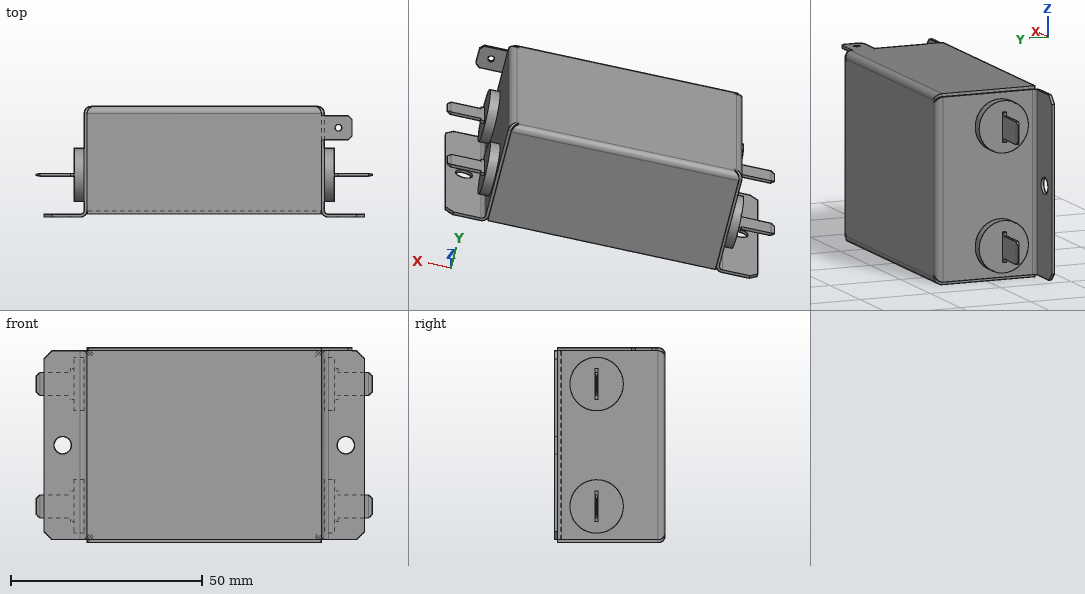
import cadquery as cq

overall_length = 88.0
overall_depth = 29.0
overall_height = 51.0

sheet = 0.8
bend_inside = 1.1
bend_outside = bend_inside + sheet

case_length = 62.8
back_y = overall_depth / 2
flange_face_y = -overall_depth / 2
case_front_y = flange_face_y + sheet
wall_x = case_length / 2
wall_inner_x = wall_x - sheet
plate_top_z = overall_height / 2
plate_inner_z = plate_top_z - sheet
filling_recess = sheet

flange_tip_x = 42.0
flange_corner = 2.1
flange_hole_x = 37.05
flange_hole_diameter = 4.5

terminal_y = -3.4
terminal_z = 16.0
insulator_diameter = 14.0
insulator_length = 2.6
insulator_face_x = wall_x + insulator_length
root_width = 8.0
root_length = 1.0
blade_width = 6.1
blade_thickness = 0.8
blade_bevel_length = 1.0
blade_tip_width = blade_width - 2 * blade_bevel_length
blade_tip_thickness = 0.3

tab_tip_x = 38.7
tab_y = 8.9
tab_width = 6.3
tab_corner = 1.1
tab_hole_x = 35.1
tab_hole_diameter = 1.7


def box_between(x_range, y_range, z_range):
    """Box given by its lower and upper bound along each axis."""
    sizes = [high - low for low, high in (x_range, y_range, z_range)]
    corner = (x_range[0], y_range[0], z_range[0])
    return cq.Workplane("XY").box(*sizes, centered=False).translate(corner)


def rounded_block(half_x, half_z, front_y):
    """Block whose four back edges are bent round, meeting in mitred corners."""
    block = box_between((-half_x, half_x), (front_y, back_y), (-half_z, half_z))
    return block.faces(">Y").edges().fillet(bend_outside)


def make_case():
    """Potted case: end walls and top and bottom plates, notched along the corners."""
    walls = rounded_block(wall_x, plate_inner_z, case_front_y + bend_inside)
    plates = rounded_block(wall_inner_x, plate_top_z, case_front_y)
    front_pocket = box_between(
        (-wall_inner_x, wall_inner_x),
        (case_front_y, case_front_y + filling_recess),
        (-plate_inner_z, plate_inner_z),
    )
    return walls.union(plates.cut(front_pocket))


def make_flange():
    """Flange at the +X end, bent outwards from the front of the end wall."""
    bend_end_x = wall_x + bend_inside
    bend_start_y = case_front_y + bend_inside
    flange = (
        cq.Workplane("XY")
        .workplane(offset=-plate_inner_z)
        .moveTo(wall_inner_x, bend_start_y)
        .radiusArc((bend_end_x, flange_face_y), -bend_outside)
        .lineTo(flange_tip_x, flange_face_y)
        .lineTo(flange_tip_x, case_front_y)
        .lineTo(bend_end_x, case_front_y)
        .radiusArc((wall_x, bend_start_y), bend_inside)
        .close()
        .extrude(2 * plate_inner_z)
    )
    flange = flange.faces(">X").edges("|Y").chamfer(flange_corner)
    hole = (
        cq.Workplane("XZ", origin=(flange_hole_x, case_front_y, 0))
        .circle(flange_hole_diameter / 2)
        .extrude(sheet)
    )
    return flange.cut(hole)


def make_terminal(z):
    """Round insulator with a bevelled flat blade, at the +X end."""
    insulator = (
        cq.Workplane("YZ", origin=(wall_x, terminal_y, z))
        .circle(insulator_diameter / 2)
        .extrude(insulator_length)
    )
    root = (
        cq.Workplane("YZ", origin=(insulator_face_x, terminal_y, z))
        .rect(blade_thickness, root_width)
        .extrude(root_length)
    )
    bevel_start_x = overall_length / 2 - blade_bevel_length
    blade = (
        cq.Workplane("YZ", origin=(insulator_face_x, terminal_y, z))
        .rect(blade_thickness, blade_width)
        .extrude(bevel_start_x - insulator_face_x)
    )
    tip = (
        cq.Workplane("YZ", origin=(bevel_start_x, terminal_y, z))
        .rect(blade_thickness, blade_width)
        .workplane(offset=blade_bevel_length)
        .rect(blade_tip_thickness, blade_tip_width)
        .loft()
    )
    return insulator.union(root).union(blade).union(tip)


def make_earth_tab():
    """Drilled tab that continues the top plate past the +X end wall."""
    tab = box_between(
        (wall_inner_x, tab_tip_x),
        (tab_y - tab_width / 2, tab_y + tab_width / 2),
        (plate_inner_z, plate_top_z),
    )
    tab = tab.faces(">X").edges("|Z").chamfer(tab_corner)
    hole = (
        cq.Workplane("XY", origin=(tab_hole_x, tab_y, plate_inner_z))
        .circle(tab_hole_diameter / 2)
        .extrude(sheet)
    )
    return tab.cut(hole)


end_parts = make_flange()
for terminal_side in (-1, 1):
    end_parts = end_parts.union(make_terminal(terminal_side * terminal_z))

result = make_case().union(end_parts).union(end_parts.mirror("YZ")).union(make_earth_tab())